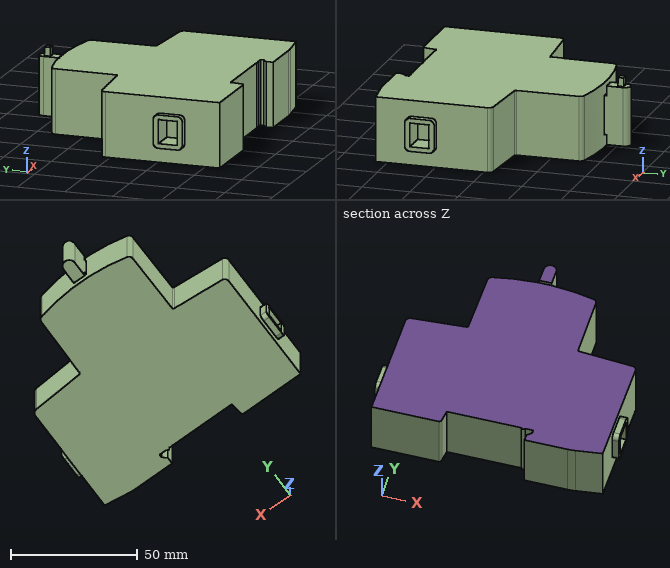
import cadquery as cq

overall_width = 100.6
overall_length = 92.7
housing_height = 27.0
housing_half_width = 47.5
mid_height = housing_height / 2

shoulder_outer_y = 49.9
shoulder_inner_y = 51.7
head_base_half_width = 22.7
head_top_half_width = 22.4
head_corner_y = 79.6
head_crown_y = 82.4
corner_radius = 2.0
inner_corner_radius = 0.6

slot_depth = 5.9
slot_left_bottom_x = -18.8
slot_left_top_x = -18.0
left_foot_radius = 1.0
hook_tip_x = 15.5
hook_tip_y = 2.9
hook_root_x = 17.4
hook_root_y = 4.6
bump_start_x = 12.7
bump_end_x = 14.2
bump_height = 0.5

slope_arc_start_x = 33.4
slope_arc_end_x = 36.5
slope_end_y = 1.7

socket_center_y = 20.8
socket_length = 12.3
socket_height = 13.7
socket_corner_radius = 2.1
opening_length = 7.9
opening_height = 9.9
opening_depth = 10.1

tab_width = 5.3
tab_start_y = 83.3
tab_height = 24.4
neck_height = 16.2
neck_overlap = 2.0
pin_width = 3.0
pin_length = 2.4
pin_top_z = 29.3


def make_housing():
    slope_corner_x = (slope_arc_start_x + slope_arc_end_x) / 2
    slope = slope_end_y / (housing_half_width - slope_corner_x)
    slope_arc_end_y = slope * (slope_arc_end_x - slope_corner_x)
    outline = (
        cq.Workplane("XY")
        .moveTo(-housing_half_width, 0)
        .lineTo(slot_left_bottom_x, 0)
        .lineTo(slot_left_top_x, slot_depth)
        .lineTo(bump_start_x, slot_depth)
        .threePointArc(
            ((bump_start_x + bump_end_x) / 2, slot_depth - bump_height),
            (bump_end_x, slot_depth),
        )
        .lineTo(hook_root_x, slot_depth)
        .lineTo(hook_root_x, hook_root_y)
        .lineTo(hook_tip_x, hook_tip_y)
        .lineTo(hook_tip_x, 0)
        .lineTo(slope_arc_start_x, 0)
        .tangentArcPoint((slope_arc_end_x, slope_arc_end_y), relative=False)
        .lineTo(housing_half_width, slope_end_y)
        .lineTo(housing_half_width, shoulder_outer_y)
        .lineTo(head_base_half_width, shoulder_inner_y)
        .lineTo(head_top_half_width, head_corner_y)
        .threePointArc((0, head_crown_y), (-head_top_half_width, head_corner_y))
        .lineTo(-head_base_half_width, shoulder_inner_y)
        .lineTo(-housing_half_width, shoulder_outer_y)
        .close()
    )
    housing = outline.extrude(housing_height)
    rounded_corners = (
        (housing_half_width, shoulder_outer_y, corner_radius),
        (head_base_half_width, shoulder_inner_y, inner_corner_radius),
        (head_top_half_width, head_corner_y, corner_radius),
    )
    for x, y, radius in rounded_corners:
        for side in (-1, 1):
            corner = cq.selectors.NearestToPointSelector((side * x, y, mid_height))
            housing = housing.edges("|Z").edges(corner).fillet(radius)
    foot_corner = cq.selectors.NearestToPointSelector((slot_left_bottom_x, 0, mid_height))
    return housing.edges("|Z").edges(foot_corner).fillet(left_foot_radius)


def add_socket(body, side):
    """Add a rounded collar with a blind opening; side is -1 (left) or 1 (right)."""
    outer_x = overall_width / 2
    collar_length = outer_x - housing_half_width
    collar = (
        cq.Workplane("XY")
        .box(collar_length, socket_length, socket_height)
        .edges("|X")
        .fillet(socket_corner_radius)
        .translate((side * (outer_x - collar_length / 2), socket_center_y, mid_height))
    )
    opening = (
        cq.Workplane("XY")
        .box(opening_depth, opening_length, opening_height)
        .translate((side * (outer_x - opening_depth / 2), socket_center_y, mid_height))
    )
    return body.union(collar).cut(opening)


def make_latch():
    round_center_y = overall_length - tab_width / 2
    tab = (
        cq.Workplane("XY")
        .workplane(offset=mid_height - tab_height / 2)
        .moveTo(-tab_width / 2, tab_start_y)
        .lineTo(tab_width / 2, tab_start_y)
        .lineTo(tab_width / 2, round_center_y)
        .threePointArc((0, overall_length), (-tab_width / 2, round_center_y))
        .close()
        .extrude(tab_height)
    )
    neck_start_y = head_crown_y - neck_overlap
    neck_length = tab_start_y - neck_start_y
    neck = (
        cq.Workplane("XY")
        .box(tab_width, neck_length, neck_height)
        .translate((0, neck_start_y + neck_length / 2, mid_height))
    )
    pin = (
        cq.Workplane("XY")
        .workplane(offset=mid_height)
        .center(0, round_center_y - pin_length / 2)
        .rect(pin_width, pin_length)
        .extrude(pin_top_z - mid_height)
    )
    return tab.union(neck).union(pin)


result = make_housing().union(make_latch())
for socket_side in (-1, 1):
    result = add_socket(result, socket_side)